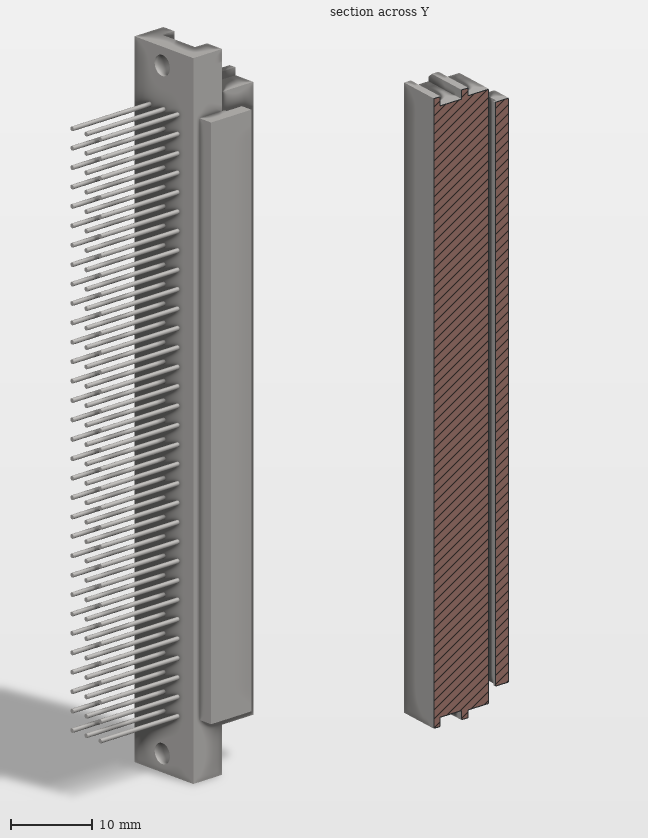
import cadquery as cq


flange_width = 10.6
flange_depth = 4.8
flange_length = 95.0

hole_diameter = 2.8
hole_spacing = 90.1
hole_x = -0.3
notch_left_x = -3.3
notch_right_x = 2.6
notch_ramp_width = 1.2
notch_ramp_height = 2.0
notch_depth = 2.0

plug_width = 8.55
plug_length = 84.9
plug_back_y = 11.6
plug_chamfer = 0.7
plug_left_x = -4.2

key_recess_left_x = -3.1
key_recess_right_x = 0.1
key_recess_depth = 1.2
side_recess_left_x = 1.1
side_recess_depth = 1.0

rail_length = 78.8
rail_reach = 2.1
rail_foot_y = 1.0
rail_shoulder_y = 5.2
rail_tip_y = 7.8
rail_shoulder_width = 0.4

pin_diameter = 0.6
pin_length = 13.0
pin_columns = 3
pin_rows = 32
pin_pitch = rail_length / (pin_rows - 1)
pin_embed = 0.95

plug_end_z = plug_length / 2
flange_end_z = flange_length / 2
flange_right_x = flange_width / 2


def box_between(x_range, y_range, z_range):
    """Box filling the given X, Y and Z intervals."""
    sizes = [high - low for low, high in (x_range, y_range, z_range)]
    corner = (x_range[0], y_range[0], z_range[0])
    return cq.Workplane("XY").box(*sizes, centered=False).translate(corner)


def both_ends(feature):
    """The feature at the +Z end together with its mirror image at the -Z end."""
    return feature.union(feature.mirror("XY"))


def make_flange():
    flange = box_between(
        (-flange_right_x, flange_right_x), (0, flange_depth), (-flange_end_z, flange_end_z)
    )
    floor_left_x = notch_left_x + notch_ramp_width
    floor_right_x = notch_right_x - notch_ramp_width
    ramp_top_z = plug_end_z + notch_ramp_height
    notch = (
        cq.Workplane("XZ", origin=(0, flange_depth, 0))
        .polyline([
            (notch_left_x, flange_end_z),
            (notch_left_x, ramp_top_z),
            (floor_left_x, plug_end_z),
            (floor_right_x, plug_end_z),
            (notch_right_x, ramp_top_z),
            (notch_right_x, flange_end_z),
        ])
        .close()
        .extrude(notch_depth)
    )
    holes = (
        cq.Workplane("XZ")
        .pushPoints([(hole_x, -hole_spacing / 2), (hole_x, hole_spacing / 2)])
        .circle(hole_diameter / 2)
        .extrude(-flange_depth)
    )
    return flange.cut(both_ends(notch)).cut(holes)


def make_plug():
    plug_right_x = plug_left_x + plug_width
    plug_y = (flange_depth, plug_back_y)
    plug = box_between((plug_left_x, plug_right_x), plug_y, (-plug_end_z, plug_end_z))
    side_floor_z = plug_end_z - side_recess_depth
    side_recess = box_between((side_recess_left_x, plug_right_x), plug_y, (side_floor_z, plug_end_z))
    plug = plug.cut(both_ends(side_recess))
    plug = plug.faces(">Y").chamfer(plug_chamfer)
    key_recess = box_between(
        (key_recess_left_x, key_recess_right_x), plug_y, (plug_end_z - key_recess_depth, plug_end_z)
    )
    return plug.cut(both_ends(key_recess))


def make_rail():
    outer_x = flange_right_x + rail_reach
    shoulder_x = flange_right_x + rail_shoulder_width
    return (
        cq.Workplane("XY", origin=(0, 0, -rail_length / 2))
        .polyline([
            (flange_right_x, rail_foot_y),
            (outer_x, rail_foot_y),
            (outer_x, rail_tip_y),
            (shoulder_x, rail_tip_y),
            (shoulder_x, rail_shoulder_y),
            (flange_right_x, rail_shoulder_y),
        ])
        .close()
        .extrude(rail_length)
    )


def make_pins():
    return (
        cq.Workplane("XZ", origin=(0, pin_embed, 0))
        .rarray(pin_pitch, pin_pitch, pin_columns, pin_rows)
        .circle(pin_diameter / 2)
        .extrude(pin_length + pin_embed)
    )


result = make_flange().union(make_plug()).union(make_rail()).union(make_pins())